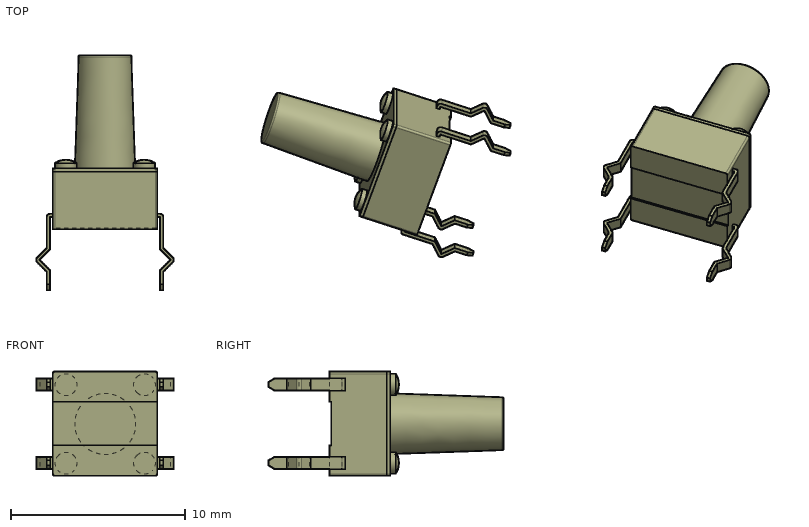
import cadquery as cq
import math


case_size = 6.0
case_depth = 3.5
cover_thickness = 0.2
base_depth = case_depth - cover_thickness
case_corner_radius = 0.125

channel_width = 2.5
channel_depth = 0.1

stud_pitch = 4.5
stud_radius = 0.625
stud_wall_height = 0.3
stud_dome_height = 0.2

plunger_length = 6.5
plunger_root_radius = 1.75
plunger_draft_angle = 2.0
plunger_tip_radius = plunger_root_radius - plunger_length * math.tan(math.radians(plunger_draft_angle))
plunger_edge_radius = 0.1

pin_thickness = 0.2
pin_width = 0.7
pin_row_pitch = 4.5
pin_leg_pitch = 6.5
pin_shoulder_front = 0.9
pin_end = -3.5
kink_center = -1.75
kink_half_height = 0.6
pin_point_length = 0.35
pin_point_inset = 0.21


def case_block(depth):
    """Square slab with rounded corners, from Y = 0 to Y = depth."""
    block = cq.Workplane("XZ").rect(case_size, case_size).extrude(-depth)
    return block.edges("|Y").fillet(case_corner_radius)


def make_base():
    channel = cq.Workplane("XZ").rect(case_size, channel_width).extrude(-channel_depth)
    return case_block(base_depth).cut(channel)


def make_stud():
    """Stud on the Y axis, standing on the front of the case."""
    wall_top = case_depth + stud_wall_height
    dome_top = wall_top + stud_dome_height
    dome_radius = (stud_radius**2 + stud_dome_height**2) / (2 * stud_dome_height)
    mid_angle = math.asin(stud_radius / dome_radius) / 2
    dome_mid = (
        dome_radius * math.sin(mid_angle),
        dome_top - dome_radius * (1 - math.cos(mid_angle)),
    )
    return (
        cq.Workplane("ZY")
        .moveTo(0, case_depth)
        .lineTo(stud_radius, case_depth)
        .lineTo(stud_radius, wall_top)
        .threePointArc(dome_mid, (0, dome_top))
        .close()
        .revolve(360, (0, 0, 0), (0, 1, 0))
    )


def make_plunger():
    plunger_end = case_depth + plunger_length
    plunger = (
        cq.Workplane("ZY")
        .moveTo(0, case_depth)
        .lineTo(plunger_root_radius, case_depth)
        .lineTo(plunger_tip_radius, plunger_end)
        .lineTo(0, plunger_end)
        .close()
        .revolve(360, (0, 0, 0), (0, 1, 0))
    )
    return plunger.faces(">Y").edges().fillet(plunger_edge_radius)


def make_cover():
    """Cover plate carrying the plunger and the four studs."""
    cover = case_block(cover_thickness).translate((0, base_depth, 0))
    cover = cover.union(make_plunger())
    stud = make_stud()
    for x_side in (-1, 1):
        for z_side in (-1, 1):
            stud_place = (x_side * stud_pitch / 2, 0, z_side * stud_pitch / 2)
            cover = cover.union(stud.translate(stud_place))
    return cover


def pointed_blank():
    """Block as wide as a pin, tapering to the blunt pin point, spanning the pin's bends along X."""
    half_width = pin_width / 2
    half_tip = half_width - pin_point_inset
    point_start = pin_end + pin_point_length
    return (
        cq.Workplane("YZ")
        .moveTo(pin_shoulder_front, half_width)
        .lineTo(point_start, half_width)
        .lineTo(pin_end, half_tip)
        .lineTo(pin_end, -half_tip)
        .lineTo(point_start, -half_width)
        .lineTo(pin_shoulder_front, -half_width)
        .close()
        .extrude(pin_leg_pitch)
    )


def make_pin():
    """Pin on the +X side of the case, centered on Z = 0."""
    case_side = case_size / 2
    leg_inner = (pin_leg_pitch - pin_thickness) / 2
    leg_outer = leg_inner + pin_thickness
    shoulder_back = pin_shoulder_front - pin_thickness

    kink_inner = leg_inner + kink_half_height
    kink_outer = kink_inner + pin_thickness
    outer_half_height = kink_half_height + pin_thickness * math.tan(math.pi / 8)
    diagonal = pin_thickness * math.sqrt(0.5)

    strip = (
        cq.Workplane("XY")
        .moveTo(case_side, pin_shoulder_front)
        .lineTo(leg_inner, pin_shoulder_front)
        .threePointArc(
            (leg_inner + diagonal, shoulder_back + diagonal),
            (leg_outer, shoulder_back),
        )
        .lineTo(leg_outer, kink_center + outer_half_height)
        .lineTo(kink_inner + diagonal, kink_center + diagonal)
        .threePointArc(
            (kink_outer, kink_center),
            (kink_inner + diagonal, kink_center - diagonal),
        )
        .lineTo(leg_outer, kink_center - outer_half_height)
        .lineTo(leg_outer, pin_end)
        .lineTo(leg_inner, pin_end)
        .lineTo(leg_inner, kink_center - kink_half_height)
        .lineTo(kink_inner, kink_center)
        .lineTo(leg_inner, kink_center + kink_half_height)
        .lineTo(leg_inner, shoulder_back)
        .lineTo(case_side, shoulder_back)
        .close()
        .extrude(pin_width / 2, both=True)
    )
    return strip.intersect(pointed_blank())


base = make_base()
cover = make_cover()

right_pin = make_pin()
left_pin = right_pin.mirror("YZ")
pins = []
for pin in (left_pin, right_pin):
    for z_side in (-1, 1):
        pins.append(pin.translate((0, 0, z_side * pin_row_pitch / 2)))

result = cq.Compound.makeCompound([base.val(), cover.val(), *[pin.val() for pin in pins]])